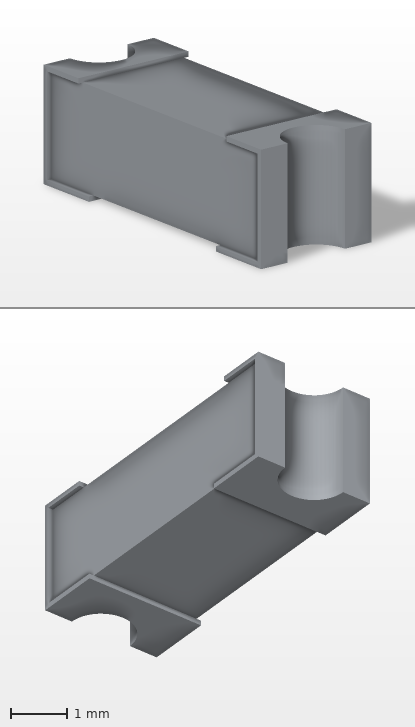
import cadquery as cq

length = 6.25
width = 2.5
height = 2.24

plating = 0.1
top_flange = 1.0
bottom_flange = 1.3
groove_radius = 0.65

side_setback = 0.1
core_length = length - 2 * plating
core_width = width - 2 * side_setback
core_height = height - 2 * plating
core_groove_radius = groove_radius + plating


def make_core():
    """Block with a half-round groove down each end, enlarged to clear the plating."""
    block = cq.Workplane("XY").box(core_length, core_width, core_height)
    grooves = (
        cq.Workplane("XY")
        .pushPoints([(-length / 2, 0), (length / 2, 0)])
        .circle(core_groove_radius)
        .extrude(height, both=True)
    )
    return block.cut(grooves)


def make_terminal(turn):
    """C-shaped cap whose end wall lines the groove, built at -X and turned about Z by `turn` degrees."""
    end = -length / 2
    inner_end = end + plating
    top = height / 2
    inner_top = top - plating
    cap = (
        cq.Workplane("XZ")
        .polyline([
            (end, -top),
            (end + bottom_flange, -top),
            (end + bottom_flange, -inner_top),
            (inner_end, -inner_top),
            (inner_end, inner_top),
            (end + top_flange, inner_top),
            (end + top_flange, top),
            (end, top),
        ])
        .close()
        .extrude(width / 2, both=True)
    )
    groove_wall = (
        cq.Workplane("XY")
        .center(end, 0)
        .circle(core_groove_radius)
        .extrude(core_height / 2, both=True)
    )
    outside = cq.Workplane("XY").box(length, width, height).translate((-length, 0, 0))
    groove = (
        cq.Workplane("XY")
        .center(end, 0)
        .circle(groove_radius)
        .extrude(height, both=True)
    )
    terminal = cap.union(groove_wall).cut(outside).cut(groove)
    return terminal.rotate((0, 0, 0), (0, 0, 1), turn)


core = make_core()
terminals = [make_terminal(turn) for turn in (0, 180)]

result = cq.Compound.makeCompound([core.val(), *[terminal.val() for terminal in terminals]])